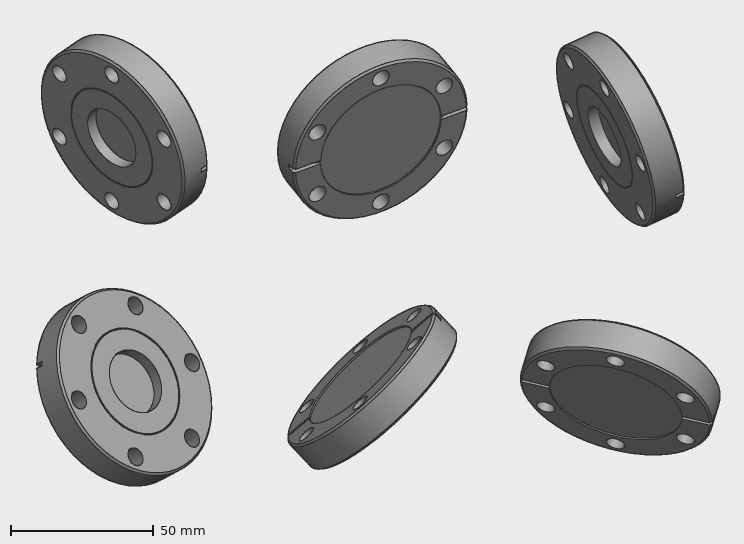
import cadquery as cq
import math

flange_diameter = 69.85
flange_radius = flange_diameter / 2
thickness = 12.7
rim_chamfer = 0.8
front_y = -thickness / 2
back_y = thickness / 2

bolt_count = 6
bolt_hole_diameter = 6.7
bolt_circle_diameter = 58.7
first_bolt_angle = 90

bore_diameter = 23.5
bore_depth = 4.3
ring_outer_diameter = 39.8
ring_inner_diameter = 39.1
ring_depth = 0.7

recess_diameter = 48.2
recess_depth = 0.6
slot_width = 1.6
slot_depth_at_rim = 3.7
slot_arc_radius = 29.35


def front_disc(diameter, depth):
    """Cylinder reaching from the front face to the given depth."""
    return cq.Workplane("XZ", origin=(0, front_y, 0)).circle(diameter / 2).extrude(-depth)


def make_body():
    disc = front_disc(flange_diameter, thickness)
    return disc.faces("<Y or >Y").edges().chamfer(rim_chamfer)


def make_bolt_holes():
    return (
        cq.Workplane("XZ", origin=(0, front_y, 0))
        .polarArray(bolt_circle_diameter / 2, first_bolt_angle, 360, bolt_count)
        .circle(bolt_hole_diameter / 2)
        .extrude(-thickness)
    )


def make_ring_groove():
    core = front_disc(ring_inner_diameter, ring_depth)
    return front_disc(ring_outer_diameter, ring_depth).cut(core)


def make_recess():
    return (
        cq.Workplane("XZ", origin=(0, back_y, 0))
        .circle(recess_diameter / 2)
        .extrude(recess_depth)
    )


def make_leak_slot():
    """Slot on the -X side: its concave floor falls from the recess floor to the rim."""
    inner = (-recess_diameter / 2, back_y - recess_depth)
    outer = (-flange_radius, back_y - slot_depth_at_rim)
    half_chord = math.dist(inner, outer) / 2
    sagitta = slot_arc_radius - math.sqrt(slot_arc_radius**2 - half_chord**2)
    return (
        cq.Workplane("XY", origin=(0, 0, -slot_width / 2))
        .moveTo(*outer)
        .sagittaArc(inner, -sagitta)
        .lineTo(0, inner[1])
        .lineTo(0, back_y)
        .lineTo(outer[0], back_y)
        .close()
        .extrude(slot_width)
    )


leak_slot = make_leak_slot()
result = (
    make_body()
    .cut(make_bolt_holes())
    .cut(front_disc(bore_diameter, bore_depth))
    .cut(make_ring_groove())
    .cut(make_recess())
    .cut(leak_slot)
    .cut(leak_slot.mirror("YZ"))
)